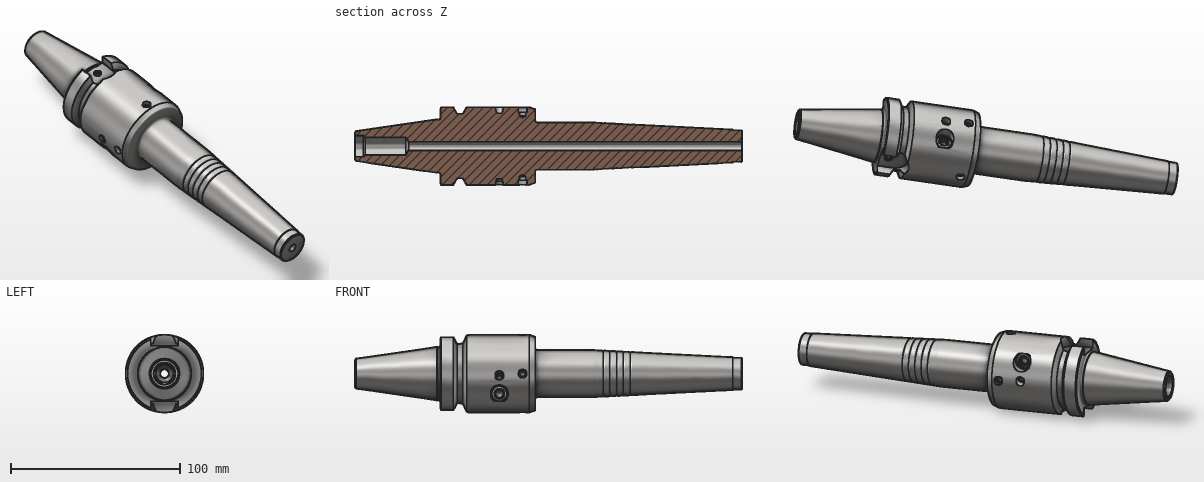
import cadquery as cq
import math


gauge_radius = 31.75 / 2
shank_length = 48.4
shank_half_angle_tangent = 7 / 48
shank_tip_radius = gauge_radius - shank_length * shank_half_angle_tangent
shank_tip_chamfer = 0.8
relief_depth = 0.3
relief_chamfer = 0.4
relief_fillet = 1.5

body_radius = 23.0
flange_start = 2.0
flange_chamfer_length = 0.4
flange_chamfer_height = 1.2
gripper_groove_center = 13.6
gripper_groove_half_width = 3.9
gripper_groove_depth = 3.8
gripper_flank_length = gripper_groove_depth * math.tan(math.radians(30))

body_end = 58.0
nose_chamfer_length = 2.7
nose_chamfer_height = 1.0
nose_fillet = 0.8

neck_radius = 14.0
neck_fillet = 1.2
neck_end = 92.3
taper_end = 174.6
taper_end_radius = 9.8
tip_radius = 9.5
tip_chamfer = 0.5
nose_end = 180.0

ring_count = 5
ring_pitch = 4.0
ring_width = 2.0
ring_depth = 0.3
first_ring_start = 97.0

mouth_diameter = 13.0
pilot_diameter = 12.5
pilot_depth = 5.0
thread_diameter = 10.4
thread_depth = 30.0
through_diameter = 5.0
drill_point_angle = 118.0

slot_width = 16.1
slot_floor_height = 16.3
slot_end = 19.0
slot_hole_x = 6.9
slot_hole_diameter = 4.5
slot_screw_diameter = 3.4
slot_screw_recess = 0.5
slot_socket_diameter = 2.31

body_hole_diameter = 5.0
body_hole_depth = 3.0
body_socket_diameter = 3.46
nose_hole_x = 50.5
side_hole_x = 36.8
side_hole_z = -1.0
side_hole_tilt = 20.0

screw_hole_z = -11.9
screw_hole_diameter = 10.4
screw_floor = 16.2
screw_cone_diameter = 9.0
screw_cone_height = 0.6
screw_rim_diameter = 6.0
screw_recess = 1.0
screw_socket_diameter = 4.62

socket_depth = 2.0
cutter_clearance = 1.0
top_to_side_angle = 90


def drill_point_length(diameter):
    return diameter / 2 / math.tan(math.radians(drill_point_angle / 2))


def nose_radius_at(x):
    share = (x - neck_end) / (taper_end - neck_end)
    return neck_radius + share * (taper_end_radius - neck_radius)


def outer_body():
    groove_start = gripper_groove_center - gripper_groove_half_width
    groove_end = gripper_groove_center + gripper_groove_half_width
    groove_radius = body_radius - gripper_groove_depth
    relief_radius = gauge_radius - relief_depth
    nose_rim = body_radius - nose_chamfer_height
    arc_shift = 1 - math.sqrt(0.5)
    profile = (
        cq.Workplane("XY")
        .moveTo(-shank_length, 0)
        .lineTo(-shank_length, shank_tip_radius - shank_tip_chamfer)
        .lineTo(
            -shank_length + shank_tip_chamfer,
            shank_tip_radius + shank_tip_chamfer * shank_half_angle_tangent,
        )
        .lineTo(0, gauge_radius)
        .lineTo(relief_chamfer, relief_radius)
        .lineTo(flange_start - relief_fillet, relief_radius)
        .threePointArc(
            (flange_start - relief_fillet * arc_shift, relief_radius + relief_fillet * arc_shift),
            (flange_start, relief_radius + relief_fillet),
        )
        .lineTo(flange_start, body_radius - flange_chamfer_height)
        .lineTo(flange_start + flange_chamfer_length, body_radius)
        .lineTo(groove_start, body_radius)
        .lineTo(groove_start + gripper_flank_length, groove_radius)
        .lineTo(groove_end - gripper_flank_length, groove_radius)
        .lineTo(groove_end, body_radius)
        .lineTo(body_end - nose_fillet - nose_chamfer_length, body_radius)
        .lineTo(body_end - nose_fillet, nose_rim)
        .threePointArc(
            (body_end - nose_fillet * arc_shift, nose_rim - nose_fillet * arc_shift),
            (body_end, nose_rim - nose_fillet),
        )
        .lineTo(body_end, neck_radius + neck_fillet)
        .threePointArc(
            (body_end + neck_fillet * arc_shift, neck_radius + neck_fillet * arc_shift),
            (body_end + neck_fillet, neck_radius),
        )
        .lineTo(neck_end, neck_radius)
        .lineTo(taper_end, taper_end_radius)
        .lineTo(taper_end, tip_radius)
        .lineTo(nose_end - tip_chamfer, tip_radius)
        .lineTo(nose_end, tip_radius - tip_chamfer)
        .lineTo(nose_end, 0)
        .close()
    )
    return profile.revolve(360, (0, 0, 0), (1, 0, 0))


def ring_groove(start):
    middle = start + ring_width / 2
    end = start + ring_width
    profile = (
        cq.Workplane("XY")
        .moveTo(start, nose_radius_at(start))
        .lineTo(middle, nose_radius_at(middle) - ring_depth)
        .lineTo(end, nose_radius_at(end))
        .lineTo(middle, nose_radius_at(middle) + cutter_clearance)
        .close()
    )
    return profile.revolve(360, (0, 0, 0), (1, 0, 0))


def draw_bar_bore():
    mouth_chamfer = (mouth_diameter - pilot_diameter) / 2
    step = (pilot_diameter - thread_diameter) / 2
    cone = drill_point_length(thread_diameter) - drill_point_length(through_diameter)
    profile = (
        cq.Workplane("XY")
        .moveTo(-shank_length, 0)
        .lineTo(-shank_length, mouth_diameter / 2)
        .lineTo(-shank_length + mouth_chamfer, pilot_diameter / 2)
        .lineTo(-shank_length + pilot_depth, pilot_diameter / 2)
        .lineTo(-shank_length + pilot_depth + step, thread_diameter / 2)
        .lineTo(-shank_length + thread_depth, thread_diameter / 2)
        .lineTo(-shank_length + thread_depth + cone, through_diameter / 2)
        .lineTo(nose_end, through_diameter / 2)
        .lineTo(nose_end, 0)
        .close()
    )
    return profile.revolve(360, (0, 0, 0), (1, 0, 0))


def drive_slot():
    end_radius = slot_width / 2
    end_center = slot_end - end_radius
    height = body_radius - slot_floor_height
    return (
        cq.Workplane("XY", origin=(0, 0, slot_floor_height))
        .moveTo(0, -end_radius)
        .lineTo(end_center, -end_radius)
        .threePointArc((slot_end, 0), (end_center, end_radius))
        .lineTo(0, end_radius)
        .close()
        .extrude(height)
    )


def stepped_hole(wall):
    """Cutter down along Z, given as (diameter, height) pairs, with a drill point at its bottom."""
    top = body_radius + cutter_clearance
    last_diameter, last_height = wall[-1]
    outline = cq.Workplane("XZ").moveTo(0, top).lineTo(wall[0][0] / 2, top)
    for diameter, height in wall:
        outline = outline.lineTo(diameter / 2, height)
    outline = outline.lineTo(0, last_height - drill_point_length(last_diameter)).close()
    return outline.revolve(360, (0, 0, 0), (0, 1, 0))


def around_axis(shape, angle):
    return shape.rotate((0, 0, 0), (1, 0, 0), angle)


def slot_hole():
    countersink_bottom = slot_floor_height - (slot_hole_diameter - slot_screw_diameter) / 2
    socket_mouth = countersink_bottom - slot_screw_recess
    hole = stepped_hole(
        [
            (slot_hole_diameter, slot_floor_height),
            (slot_screw_diameter, countersink_bottom),
            (slot_screw_diameter, socket_mouth),
            (slot_socket_diameter, socket_mouth),
            (slot_socket_diameter, socket_mouth - socket_depth),
        ]
    )
    return hole.translate((slot_hole_x, 0, 0))


def body_hole():
    """Small stepped hole, down from the top of the body at X = 0."""
    socket_mouth = body_radius - body_hole_depth
    return stepped_hole(
        [
            (body_hole_diameter, socket_mouth),
            (body_socket_diameter, socket_mouth),
            (body_socket_diameter, socket_mouth - socket_depth),
        ]
    )


def nose_hole():
    return body_hole().translate((nose_hole_x, 0, 0))


def side_hole():
    """Small hole in the -Y side of the body, leaning down as it goes in."""
    mouth_center = (0, 0, body_radius)
    beside_mouth = (1, 0, body_radius)
    hole = body_hole().rotate(mouth_center, beside_mouth, -side_hole_tilt)
    return around_axis(hole, top_to_side_angle).translate((side_hole_x, 0, side_hole_z))


def screw_hole():
    """Large hole in the -Y side of the body, with a raised cone around its stepped socket."""
    rim_height = screw_floor + screw_cone_height
    socket_mouth = rim_height - screw_recess
    hole = stepped_hole(
        [
            (screw_hole_diameter, screw_floor),
            (screw_cone_diameter, screw_floor),
            (screw_rim_diameter, rim_height),
            (screw_rim_diameter, socket_mouth),
            (screw_socket_diameter, socket_mouth),
            (screw_socket_diameter, socket_mouth - socket_depth),
        ]
    )
    return around_axis(hole, top_to_side_angle).translate((side_hole_x, 0, screw_hole_z))


result = outer_body()
for ring in range(ring_count):
    result = result.cut(ring_groove(first_ring_start + ring * ring_pitch))
result = result.cut(draw_bar_bore())
for angle in (0, 180):
    for cutter in (drive_slot(), slot_hole(), side_hole(), screw_hole()):
        result = result.cut(around_axis(cutter, angle))
for angle in (270, 0, 90, 180):
    result = result.cut(around_axis(nose_hole(), angle))